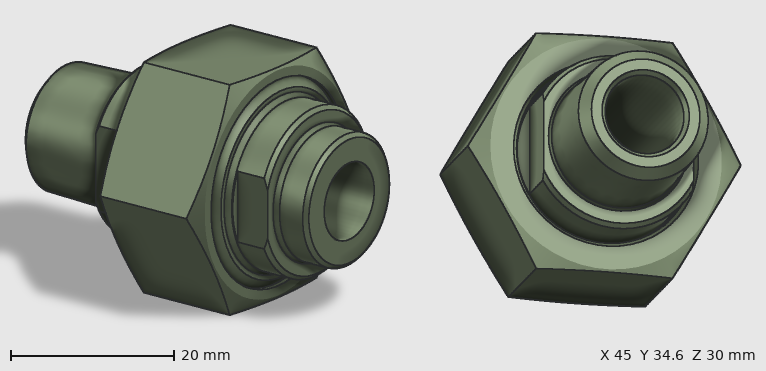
import cadquery as cq
import math

LENGTH = 45.0
BORE_RADIUS = 10.0 / 2
BODY_RADIUS = 22.0 / 2
EDGE_CHAMFER = 0.55
STEP_RADIUS = 8.9

NUT_START = 19.0
NUT_LENGTH = 15.0
NUT_END = NUT_START + NUT_LENGTH
NUT_ACROSS_FLATS = 30.0
NUT_CORNER_RADIUS = NUT_ACROSS_FLATS / math.sqrt(3)
NUT_FACE_RADIUS = 29.4 / 2
NUT_CORNER_CHAMFER = 0.8
NUT_LIP_RADIUS = 22.5 / 2
NUT_LIP_CHAMFER = 0.5
NUT_LIP_LENGTH = 2.7
NUT_THREAD_RADIUS = 26.85 / 2

TAPER_RATE = 1 / 32
TAPER_TIP_RADIUS = 13.75 / 2
TAPER_START = 1.15
TAPER_START_RADIUS = 8.25
TAPER_END = 12.7
TAPER_END_RADIUS = TAPER_START_RADIUS + TAPER_RATE * (TAPER_END - TAPER_START)
TAIL_COLLAR_START = 12.95
TAIL_FLATS = 19.0
TAIL_FLATS_END = 19.85
TAIL_FLATS_LEAN = 11.0
FLANGE_RADIUS = 25.0 / 2
FLANGE_START = NUT_START + NUT_LIP_LENGTH
FLANGE_CONE_START = FLANGE_START - (NUT_LIP_RADIUS - BODY_RADIUS)
FLANGE_CONE_END = FLANGE_CONE_START + FLANGE_RADIUS - BODY_RADIUS
JOINT = 25.65

THREAD_RUNOUT_END = 34.5
THREAD_RUNOUT_RADIUS = 12.15
THREAD_END = THREAD_RUNOUT_END - (NUT_THREAD_RADIUS - THREAD_RUNOUT_RADIUS)
SHOULDER_RADIUS = 11.5
END_COLLAR_START = 35.3
END_COLLAR_END = 40.1
END_FLATS = 20.0
END_FLATS_START = 35.45
SPIGOT_START = 40.85
SPIGOT_RADIUS = 17.2 / 2


def revolve(outline):
    """Revolve (x, radius) points about the X axis."""
    return cq.Workplane("XY").polyline(outline).close().revolve(360, (0, 0, 0), (1, 0, 0))


def wrench_flats(body, start, end, across_flats, end_lean=0.0):
    """Mill two parallel flats, facing -Y and +Y, between two X positions.

    end_lean is the angle by which the wall at the far end opens away from the axis.
    """
    inner = across_flats / 2
    outer = NUT_CORNER_RADIUS
    lean_run = (outer - inner) * math.tan(math.radians(end_lean))
    for side in (-1, 1):
        cutter = (
            cq.Workplane("XY")
            .polyline([
                (start, side * inner),
                (end, side * inner),
                (end + lean_run, side * outer),
                (start, side * outer),
            ])
            .close()
            .extrude(NUT_CORNER_RADIUS, both=True)
        )
        body = body.cut(cutter)
    return body


def make_tailpiece():
    body = revolve([
        (0, BORE_RADIUS + EDGE_CHAMFER),
        (0, TAPER_TIP_RADIUS),
        (TAPER_START, TAPER_START_RADIUS),
        (TAPER_END, TAPER_END_RADIUS),
        (TAIL_COLLAR_START, STEP_RADIUS),
        (TAIL_COLLAR_START, BODY_RADIUS - EDGE_CHAMFER),
        (TAIL_COLLAR_START + EDGE_CHAMFER, BODY_RADIUS),
        (FLANGE_CONE_START, BODY_RADIUS),
        (FLANGE_CONE_END, FLANGE_RADIUS),
        (JOINT, FLANGE_RADIUS),
        (JOINT, BORE_RADIUS),
        (EDGE_CHAMFER, BORE_RADIUS),
    ])
    return wrench_flats(body, TAIL_COLLAR_START, TAIL_FLATS_END, TAIL_FLATS, TAIL_FLATS_LEAN)


def make_union_nut():
    hexagon = cq.Workplane("YZ").polygon(6, 2 * NUT_CORNER_RADIUS).extrude(NUT_LENGTH)
    hexagon = hexagon.translate((NUT_START, 0, 0))
    corner_chamfers = revolve([
        (NUT_START, 0),
        (NUT_START, NUT_FACE_RADIUS),
        (NUT_START + NUT_CORNER_CHAMFER, NUT_CORNER_RADIUS),
        (NUT_END - NUT_CORNER_CHAMFER, NUT_CORNER_RADIUS),
        (NUT_END, NUT_FACE_RADIUS),
        (NUT_END, 0),
    ])
    seat_end = FLANGE_START + NUT_THREAD_RADIUS - NUT_LIP_RADIUS
    opening = revolve([
        (NUT_START, 0),
        (NUT_START, NUT_LIP_RADIUS + NUT_LIP_CHAMFER),
        (NUT_START + NUT_LIP_CHAMFER, NUT_LIP_RADIUS),
        (FLANGE_START, NUT_LIP_RADIUS),
        (seat_end, NUT_THREAD_RADIUS),
        (NUT_END, NUT_THREAD_RADIUS),
        (NUT_END, 0),
    ])
    return hexagon.intersect(corner_chamfers).cut(opening)


def make_threaded_end():
    body = revolve([
        (JOINT, BORE_RADIUS),
        (JOINT, NUT_THREAD_RADIUS),
        (THREAD_END, NUT_THREAD_RADIUS),
        (THREAD_RUNOUT_END, THREAD_RUNOUT_RADIUS),
        (THREAD_RUNOUT_END, SHOULDER_RADIUS),
        (END_COLLAR_START, BODY_RADIUS),
        (END_COLLAR_END - EDGE_CHAMFER, BODY_RADIUS),
        (END_COLLAR_END, BODY_RADIUS - EDGE_CHAMFER),
        (END_COLLAR_END, STEP_RADIUS),
        (SPIGOT_START, SPIGOT_RADIUS),
        (LENGTH - EDGE_CHAMFER, SPIGOT_RADIUS),
        (LENGTH, SPIGOT_RADIUS - EDGE_CHAMFER),
        (LENGTH, BORE_RADIUS),
    ])
    return wrench_flats(body, END_FLATS_START, END_COLLAR_END, END_FLATS)


tailpiece = make_tailpiece()
union_nut = make_union_nut()
threaded_end = make_threaded_end()

result = cq.Compound.makeCompound([tailpiece.val(), union_nut.val(), threaded_end.val()])